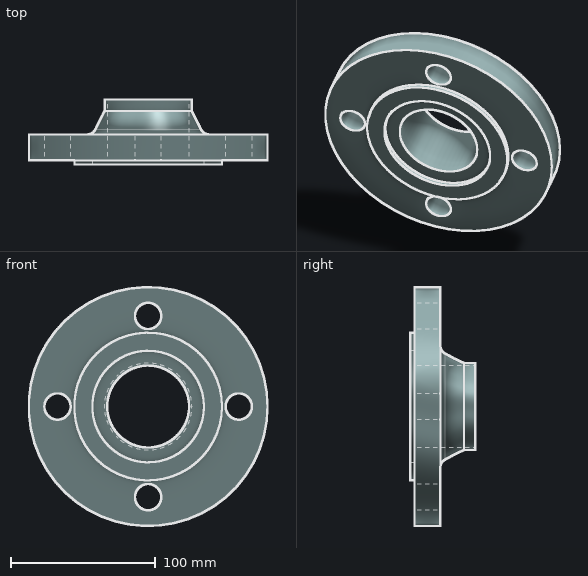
import cadquery as cq

flange_diameter = 165.0
flange_thickness = 18.0
total_length = 45.0
bore_diameter = 56.5

raised_face_diameter = 102.0
raised_face_height = 3.0
recess_diameter = 77.0
recess_depth = 3.0

neck_end_diameter = 60.2
neck_end_length = 8.0
neck_base_diameter = 76.5
neck_root_fillet = 6.0

bolt_circle_diameter = 125.0
bolt_hole_diameter = 18.0
bolt_hole_count = 4

flange_back = raised_face_height + flange_thickness
neck_end_start = total_length - neck_end_length


def revolved_body():
    """Solid of revolution about Y: raised face, flange disc and neck."""
    neck_end_radius = neck_end_diameter / 2
    profile = (
        cq.Workplane("XY")
        .moveTo(0, 0)
        .lineTo(raised_face_diameter / 2, 0)
        .lineTo(raised_face_diameter / 2, raised_face_height)
        .lineTo(flange_diameter / 2, raised_face_height)
        .lineTo(flange_diameter / 2, flange_back)
        .lineTo(neck_base_diameter / 2, flange_back)
        .lineTo(neck_end_radius, neck_end_start)
        .lineTo(neck_end_radius, total_length)
        .lineTo(0, total_length)
        .close()
    )
    body = profile.revolve(360, (0, 0, 0), (0, 1, 0))
    root_radius = neck_base_diameter / 2
    tolerance = 0.2
    root_box = cq.selectors.BoxSelector(
        (-root_radius - tolerance, flange_back - tolerance, -root_radius - tolerance),
        (root_radius + tolerance, flange_back + tolerance, root_radius + tolerance),
        boundingbox=True,
    )
    return body.edges(root_box).fillet(neck_root_fillet)


def face_plane():
    """Workplane on the sealing face, with its normal along +Y."""
    return cq.Workplane("XZ").workplane(invert=True)


bore = face_plane().circle(bore_diameter / 2).extrude(total_length)
recess = face_plane().circle(recess_diameter / 2).extrude(recess_depth)
bolt_holes = (
    face_plane()
    .polarArray(bolt_circle_diameter / 2, 0, 360, bolt_hole_count)
    .circle(bolt_hole_diameter / 2)
    .extrude(flange_back)
)

result = revolved_body().cut(bore).cut(recess).cut(bolt_holes)